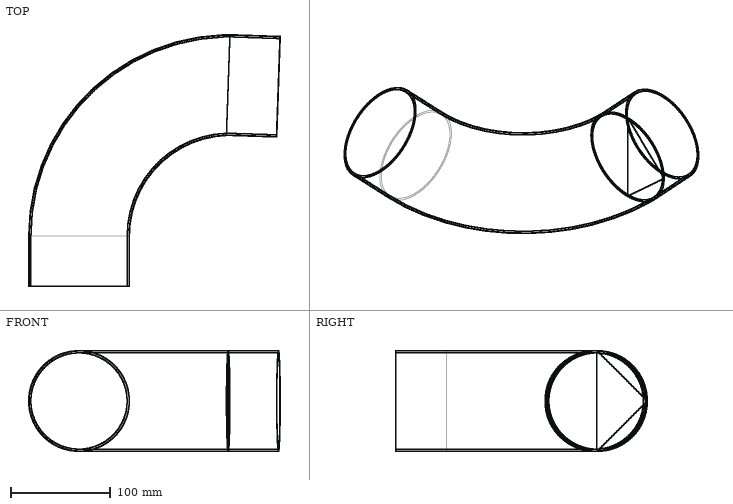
import cadquery as cq

outer_diameter = 101.5
inner_diameter = 97.3
bend_radius = 152.5
bend_angle = 90.0
leg_length = 50.8
outlet_tilt = 2.0

bend_end_y = leg_length + bend_radius
bend_start = cq.Workplane("XZ", origin=(0, leg_length, 0))
bend_end = cq.Workplane("YZ", origin=(bend_radius, bend_end_y, 0))


def tube_section(workplane):
    """Draw the ring-shaped tube wall section on a workplane."""
    return workplane.circle(outer_diameter / 2).circle(inner_diameter / 2)


def tilted(outlet_solid):
    """Swing a solid by the outlet tilt about the outermost point of the bend end."""
    pivot_y = bend_end_y + outer_diameter / 2
    axis_start = (bend_radius, pivot_y, 0)
    axis_end = (bend_radius, pivot_y, 1)
    return outlet_solid.rotate(axis_start, axis_end, -outlet_tilt)


def inlet_leg():
    """Straight leg along +Y."""
    return tube_section(cq.Workplane("XZ")).extrude(-leg_length)


def bend():
    """Curved tube, trimmed square to the tilted outlet leg."""
    full_bend = tube_section(bend_start).revolve(bend_angle, (bend_radius, 0, 0), (bend_radius, -1, 0))
    trim_side = 2 * outer_diameter
    trim_block = bend_end.rect(trim_side, trim_side).extrude(leg_length)
    return full_bend.cut(tilted(trim_block))


def outlet_leg():
    """Straight leg leaving the bend, tilted slightly past a right angle."""
    return tilted(tube_section(bend_end).extrude(leg_length))


result = inlet_leg().union(bend()).union(outlet_leg())